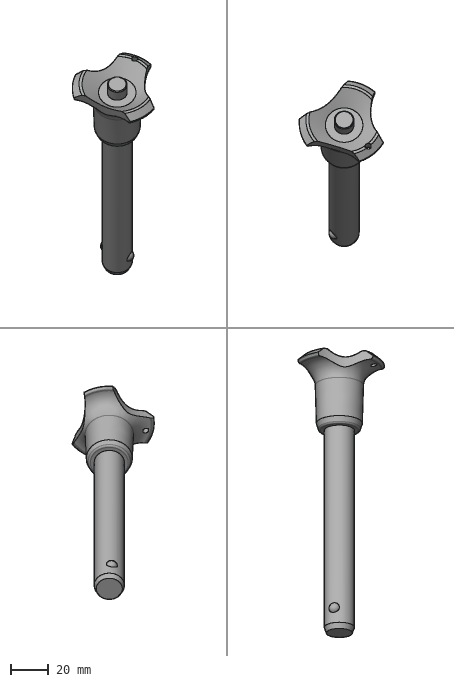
import cadquery as cq
import math


SHANK_RADIUS = 8.0
SHANK_LENGTH = 114.15
TIP_RADIUS = 6.9
TIP_TAPER_LENGTH = 3.1

BALL_RADIUS = 3.1
BALL_REACH = 9.6
BALL_HEIGHT_ABOVE_TIP = 11.6

HANDLE_HEIGHT = 39.55
GRIP_BOTTOM_RADIUS = 10.0
GRIP_EDGE_RADIUS = 11.2
GRIP_EDGE_HEIGHT = 0.9
GRIP_LOWER_RADIUS = 12.2
GRIP_UPPER_RADIUS = 12.8
GRIP_TAPER_HEIGHT = 3.85
FLARE_START_HEIGHT = 25.15
FLARE_RADIUS = 9.3
RIM_RADIUS = 23.78
RIM_EDGE_ROUND = 1.2
RIM_BEVEL_HEIGHT = 3.2
RIM_TOP_OUTER_RADIUS = 20.2
RIM_TOP_INNER_RADIUS = 18.6

CUP_FLOOR_RADIUS = 9.9
CUP_FLOOR_HEIGHT = 32.4

BUTTON_RADIUS = 5.2
BUTTON_CHAMFER = 0.5

SIDE_SCALLOP_ANGLE = 31.6
SIDE_SCALLOP_RADIUS = 27.3
SIDE_SCALLOP_CLEARANCE = 14.5
FRONT_SCALLOP_ANGLE = -90.0
FRONT_SCALLOP_RADIUS = 52.0
FRONT_SCALLOP_CLEARANCE = 13.9

LANYARD_HOLE_DIAMETER = 3.1
LANYARD_HOLE_OFFSET = 19.6


def revolve_about_z(profile):
    """Close a profile drawn as (radius, height) and turn it about the Z axis."""
    return profile.close().revolve(360, (0, 0, 0), (0, 1, 0))


def make_shank():
    tip = -SHANK_LENGTH
    profile = (
        cq.Workplane("XZ")
        .moveTo(0, tip)
        .lineTo(TIP_RADIUS, tip)
        .lineTo(SHANK_RADIUS, tip + TIP_TAPER_LENGTH)
        .lineTo(SHANK_RADIUS, GRIP_TAPER_HEIGHT)
        .lineTo(0, GRIP_TAPER_HEIGHT)
    )
    return revolve_about_z(profile)


def make_ball(side):
    centre = (side * (BALL_REACH - BALL_RADIUS), 0, BALL_HEIGHT_ABOVE_TIP - SHANK_LENGTH)
    return cq.Workplane("XY").sphere(BALL_RADIUS).translate(centre)


def make_handle_blank():
    """Round handle before the scallops: tapered grip, flare, rim and hollow cup."""
    rim_bottom = FLARE_START_HEIGHT + FLARE_RADIUS
    edge_mid = (
        GRIP_BOTTOM_RADIUS + (GRIP_EDGE_RADIUS - GRIP_BOTTOM_RADIUS) * math.sqrt(0.5),
        GRIP_EDGE_HEIGHT * (1 - math.sqrt(0.5)),
    )
    flare_centre_radius = GRIP_UPPER_RADIUS + FLARE_RADIUS
    flare_mid = (
        flare_centre_radius - FLARE_RADIUS * math.sqrt(0.5),
        FLARE_START_HEIGHT + FLARE_RADIUS * math.sqrt(0.5),
    )
    round_mid = (
        RIM_RADIUS - RIM_EDGE_ROUND * (1 - math.sqrt(0.5)),
        rim_bottom + RIM_EDGE_ROUND * (1 - math.sqrt(0.5)),
    )

    profile = (
        cq.Workplane("XZ")
        .moveTo(0, 0)
        .lineTo(GRIP_BOTTOM_RADIUS, 0)
        .threePointArc(edge_mid, (GRIP_EDGE_RADIUS, GRIP_EDGE_HEIGHT))
        .lineTo(GRIP_LOWER_RADIUS, GRIP_TAPER_HEIGHT)
        .lineTo(GRIP_UPPER_RADIUS, FLARE_START_HEIGHT)
        .threePointArc(flare_mid, (flare_centre_radius, rim_bottom))
        .lineTo(RIM_RADIUS - RIM_EDGE_ROUND, rim_bottom)
        .threePointArc(round_mid, (RIM_RADIUS, rim_bottom + RIM_EDGE_ROUND))
        .lineTo(RIM_RADIUS, HANDLE_HEIGHT - RIM_BEVEL_HEIGHT)
        .lineTo(RIM_TOP_OUTER_RADIUS, HANDLE_HEIGHT)
        .lineTo(RIM_TOP_INNER_RADIUS, HANDLE_HEIGHT)
        .lineTo(CUP_FLOOR_RADIUS, CUP_FLOOR_HEIGHT)
        .lineTo(0, CUP_FLOOR_HEIGHT)
    )
    return revolve_about_z(profile)


def make_scallop(angle, radius, clearance):
    """Upright cylinder that hollows the handle's edge in the given direction."""
    distance = clearance + radius
    direction = math.radians(angle)
    return (
        cq.Workplane("XY")
        .center(distance * math.cos(direction), distance * math.sin(direction))
        .circle(radius)
        .extrude(HANDLE_HEIGHT)
    )


def make_lanyard_hole():
    return (
        cq.Workplane("XY")
        .center(0, LANYARD_HOLE_OFFSET)
        .circle(LANYARD_HOLE_DIAMETER / 2)
        .extrude(HANDLE_HEIGHT)
    )


def make_button():
    return (
        cq.Workplane("XY", origin=(0, 0, CUP_FLOOR_HEIGHT))
        .circle(BUTTON_RADIUS)
        .extrude(HANDLE_HEIGHT - CUP_FLOOR_HEIGHT)
        .faces(">Z")
        .chamfer(BUTTON_CHAMFER)
    )


def make_handle():
    handle = make_handle_blank()
    for angle in (SIDE_SCALLOP_ANGLE, 180 - SIDE_SCALLOP_ANGLE):
        handle = handle.cut(make_scallop(angle, SIDE_SCALLOP_RADIUS, SIDE_SCALLOP_CLEARANCE))
    handle = handle.cut(make_scallop(FRONT_SCALLOP_ANGLE, FRONT_SCALLOP_RADIUS, FRONT_SCALLOP_CLEARANCE))
    handle = handle.cut(make_lanyard_hole())
    return handle.union(make_button())


result = make_handle().union(make_shank())
for side in (-1, 1):
    result = result.union(make_ball(side))